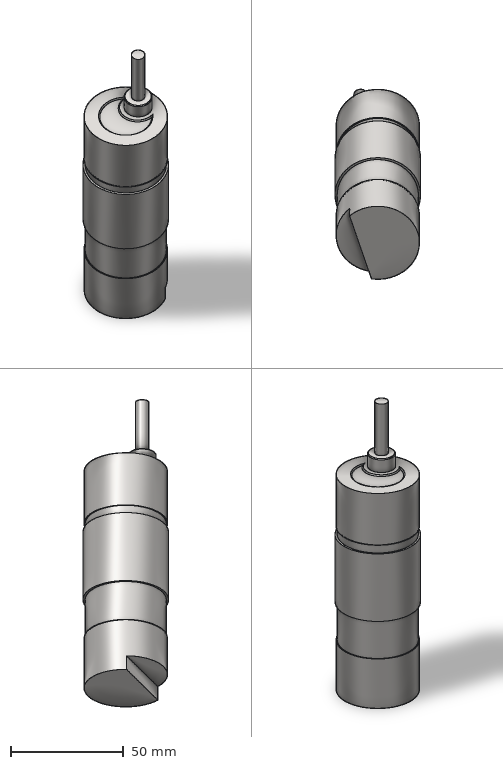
import cadquery as cq

body_diameter = 37.0
groove_diameter = 36.0
sleeve_diameter = 38.0
body_top = 107.5
body_sections = [
    (body_diameter, 24.8),
    (groove_diameter, 43.8),
    (sleeve_diameter, 77.6),
    (groove_diameter, 81.6),
    (body_diameter, body_top),
]

shaft_offset = 8.0
shaft_diameter = 6.0
shaft_top = 140.0
collar_diameter = 12.5
collar_top = 114.3
collar_chamfer = 0.4

recess_depth = 0.5
wall_slope_run = 0.5
recess_floor_radius = 11.5
island_top_radius = 8.0
island_offset = 7.5

step_height = 6.7
step_face_y = shaft_offset


def cylinder(diameter, bottom, top, center_y=0.0):
    base = cq.Workplane("XY", origin=(0, center_y, bottom))
    return base.circle(diameter / 2).extrude(top - bottom)


def cone(bottom_radius, top_radius, center_y):
    """Cone frustum filling the height of the recess."""
    direction = cq.Vector(0, 0, 1)
    base = cq.Vector(0, center_y, body_top - recess_depth)
    return cq.Workplane(cq.Solid.makeCone(bottom_radius, top_radius, recess_depth, base, direction))


def make_body():
    body = None
    bottom = 0.0
    for diameter, top in body_sections:
        section = cylinder(diameter, bottom, top)
        body = section if body is None else body.union(section)
        bottom = top
    return body


def make_recess():
    bowl = cone(recess_floor_radius, recess_floor_radius + wall_slope_run, 0.0)
    island = cone(island_top_radius + wall_slope_run, island_top_radius, island_offset)
    return bowl.cut(island)


def make_base_step():
    corner = cq.Workplane("XY", origin=(0, step_face_y, 0))
    return corner.box(sleeve_diameter, sleeve_diameter, step_height, centered=(True, False, False))


collar = cylinder(collar_diameter, body_top, collar_top, shaft_offset)
collar = collar.faces(">Z").chamfer(collar_chamfer)
shaft = cylinder(shaft_diameter, collar_top, shaft_top, shaft_offset)

result = make_body().cut(make_recess()).cut(make_base_step()).union(collar).union(shaft)